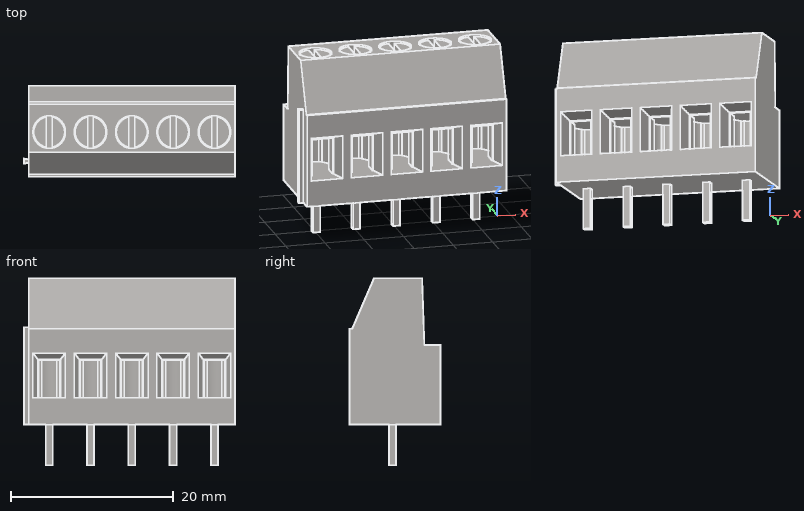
import cadquery as cq


POLE_COUNT = 5
PITCH = 5.08
LENGTH = POLE_COUNT * PITCH
OVERALL_LENGTH = 25.97

DEPTH = 11.2
HEIGHT = 18.0
SHOULDER_HEIGHT = 11.8
SHOULDER_DEPTH = 0.33
TOP_FRONT_Y = 3.0
TOP_REAR_Y = 8.95
LEDGE_FRONT_Y = 9.22
LEDGE_HEIGHT = 9.8

SCREW_Y = 5.5
SCREW_DIAMETER = 3.8
SCREW_HOLE_DIAMETER = 4.0
SCREW_RECESS = 0.2
SCREW_GAP_DEPTH = 1.2
SLOT_WIDTH = 0.72
SLOT_DEPTH = 1.0

MOUTH_WIDTH = 4.0
MOUTH_BOTTOM = 3.3
MOUTH_TOP = 8.8
FUNNEL_DEPTH = 2.12
THROAT_WIDTH = 2.8
THROAT_TOP = 8.03
CLAMP_STEP = 0.12
CLAMP_WIDTH = THROAT_WIDTH - 2 * CLAMP_STEP
CLAMP_HEIGHT = THROAT_TOP - CLAMP_STEP - MOUTH_BOTTOM
CLAMP_REAR_Y = 7.28
BORE_DIAMETER = SCREW_HOLE_DIAMETER

PIN_SIZE = 0.9
PIN_LENGTH = 5.0
PIN_Y = 5.3

KEY_Y = 1.93
KEY_PROJECTION = OVERALL_LENGTH - LENGTH
KEY_ROOT_WIDTH = 0.45
KEY_TIP_WIDTH = 0.65
KEY_HEIGHT = 12.0


def housing():
    """Stepped profile drawn in YZ and extruded along the row."""
    return (
        cq.Workplane("YZ")
        .moveTo(0, 0)
        .lineTo(DEPTH, 0)
        .lineTo(DEPTH, LEDGE_HEIGHT)
        .lineTo(LEDGE_FRONT_Y, LEDGE_HEIGHT)
        .lineTo(TOP_REAR_Y, HEIGHT)
        .lineTo(TOP_FRONT_Y, HEIGHT)
        .lineTo(SHOULDER_DEPTH, SHOULDER_HEIGHT)
        .lineTo(0, SHOULDER_HEIGHT)
        .close()
        .extrude(LENGTH)
    )


def dovetail_key():
    """Vertical key, wider at its outer face than at the housing."""
    return (
        cq.Workplane("XY")
        .polyline([
            (0, KEY_Y - KEY_ROOT_WIDTH / 2),
            (0, KEY_Y + KEY_ROOT_WIDTH / 2),
            (-KEY_PROJECTION, KEY_Y + KEY_TIP_WIDTH / 2),
            (-KEY_PROJECTION, KEY_Y - KEY_TIP_WIDTH / 2),
        ])
        .close()
        .extrude(KEY_HEIGHT)
    )


def entry_funnel(x):
    """Tapered mouth: sides and top slope inward, the floor is level."""
    mouth_height = MOUTH_TOP - MOUTH_BOTTOM
    throat_height = THROAT_TOP - MOUTH_BOTTOM
    return (
        cq.Workplane("XZ")
        .center(x, MOUTH_BOTTOM + mouth_height / 2)
        .rect(MOUTH_WIDTH, mouth_height)
        .workplane(offset=-FUNNEL_DEPTH)
        .center(0, (throat_height - mouth_height) / 2)
        .rect(THROAT_WIDTH, throat_height)
        .loft(ruled=True)
    )


def clamp_pocket(x):
    """Straight pocket behind the funnel, crossed by a round bore on the screw axis."""
    pocket = cq.Workplane("XY").box(
        CLAMP_WIDTH, CLAMP_REAR_Y - FUNNEL_DEPTH, CLAMP_HEIGHT, centered=(True, False, False)
    ).translate((x, FUNNEL_DEPTH, MOUTH_BOTTOM))
    bore = (
        cq.Workplane("XY", origin=(x, SCREW_Y, MOUTH_BOTTOM))
        .circle(BORE_DIAMETER / 2)
        .extrude(CLAMP_HEIGHT)
    )
    return pocket.union(bore)


def screw_recess(x):
    """Material removed around, above and in the slot of one screw head."""
    top = cq.Workplane("XY", origin=(x, SCREW_Y, HEIGHT))
    hole = top.circle(SCREW_HOLE_DIAMETER / 2).extrude(-SCREW_GAP_DEPTH)
    head = (
        top.workplane(offset=-SCREW_GAP_DEPTH)
        .circle(SCREW_DIAMETER / 2)
        .extrude(SCREW_GAP_DEPTH - SCREW_RECESS)
    )
    slot = (
        top.workplane(offset=-SCREW_RECESS)
        .rect(SLOT_WIDTH, SCREW_DIAMETER)
        .extrude(-SLOT_DEPTH)
    )
    return hole.cut(head.cut(slot))


def solder_pin(x):
    """Square pin hanging below the housing."""
    return cq.Workplane("XY", origin=(x, PIN_Y, 0)).rect(PIN_SIZE, PIN_SIZE).extrude(-PIN_LENGTH)


result = housing().union(dovetail_key())
for pole in range(POLE_COUNT):
    pole_x = (pole + 0.5) * PITCH
    result = result.cut(entry_funnel(pole_x))
    result = result.cut(clamp_pocket(pole_x))
    result = result.cut(screw_recess(pole_x))
    result = result.union(solder_pin(pole_x))